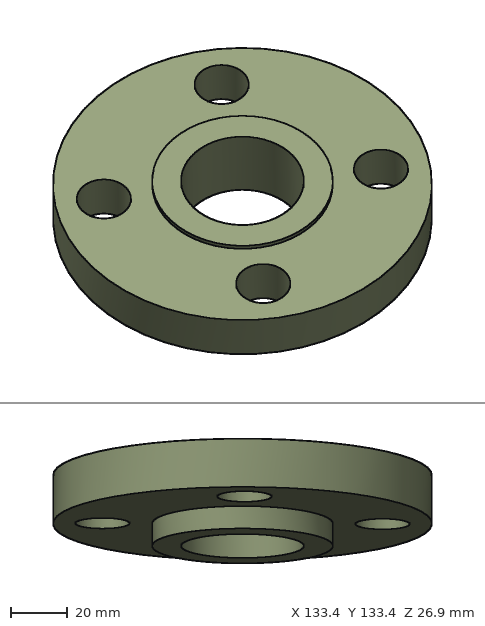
import cadquery as cq

flange_diameter = 133.4
flange_thickness = 17.3

hub_diameter = 63.6
hub_height = 8.0
raised_face_height = 1.6
bore_diameter = 43.2

bolt_circle_diameter = 98.5
bolt_hole_diameter = 19.1
bolt_count = 4
first_bolt_angle = 180 / bolt_count

total_height = hub_height + flange_thickness + raised_face_height


def cylinder(diameter, height, base_z=0.0):
    """Upright cylinder on the part axis, starting at base_z."""
    return cq.Workplane("XY", origin=(0, 0, base_z)).circle(diameter / 2).extrude(height)


def bolt_holes():
    """Cutters for the bolt holes, spaced evenly around the bolt circle."""
    return (
        cq.Workplane("XY")
        .polarArray(bolt_circle_diameter / 2, first_bolt_angle, 360, bolt_count)
        .circle(bolt_hole_diameter / 2)
        .extrude(total_height)
    )


body = cylinder(flange_diameter, flange_thickness, hub_height)
body = body.union(cylinder(hub_diameter, total_height))

result = body.cut(cylinder(bore_diameter, total_height)).cut(bolt_holes())